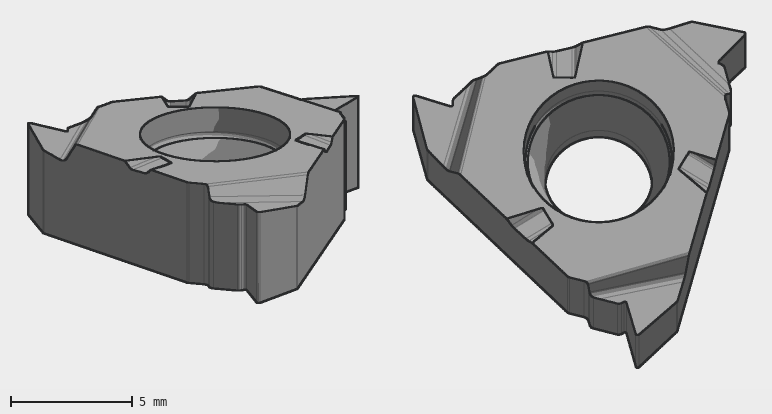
import cadquery as cq
import math

THICKNESS = 4.44
CORNERS = 3
CORNER_ANGLE = 360 / CORNERS
INRADIUS = 4.77

FLANK_ANGLE = 60
SHOULDER_Y = 5.23
TIP_Y = 7.2
TIP_RADIUS = 0.08
CREST_Y = 6.01
CREST_START_X = -2.51
CREST_END_X = -1.27
RELIEF_Y = 5.64
GULLET_RISE_ANGLE = 45
GULLET_RADIUS = 0.07
CREST_RADIUS = 0.22
STEP_RADIUS = 0.24
STEP_ROOT_RADIUS = 0.27
SIDE_RADIUS = 0.2

BORE_DIAMETER = 4.4
SEAT_DIAMETER = 6.2
SEAT_END_DIAMETER = 6.03
SEAT_DEPTH = 1.05
THROAT_DIAMETER = 5.85
THROAT_DEPTH = 1.28
THROAT_END_DEPTH = 3.59

TOOTH_HEADING = -30
RAKE_ANGLE = 10.0
TIP_HEIGHT = 4.02
WALL_ANGLE = 60.0
WALL_X = 5.38
WALL_SKEW = 1.9
GROOVE_RADIUS = 0.32
BROW_RADIUS = 0.14
GROOVE_LENGTH = 11.16
GROOVE_REACH = 5.58

NOTCH_END = (-3.49, -0.55)
NOTCH_ANGLE = 165.0
NOTCH_LENGTH = 2.09
NOTCH_FLOOR_TILT = 10.0
NOTCH_END_DEPTH = 0.03
NOTCH_FLOOR_WIDTH = 0.82
NOTCH_WALL_ANGLE = 40.0
NOTCH_HEIGHT = 0.7
NOTCH_RADIUS = 0.25


def turned(point, angle):
    """Point (x, y) turned about the Z axis."""
    cos_a = math.cos(math.radians(angle))
    sin_a = math.sin(math.radians(angle))
    return (point[0] * cos_a - point[1] * sin_a, point[0] * sin_a + point[1] * cos_a)


flank_slope = math.tan(math.radians(FLANK_ANGLE))
rise_slope = math.tan(math.radians(GULLET_RISE_ANGLE))
tip_overshoot = TIP_RADIUS * (1 / math.cos(math.radians(FLANK_ANGLE)) - 1)
apex_y = TIP_Y + tip_overshoot
apex_x = -INRADIUS + (apex_y - SHOULDER_Y) / flank_slope
gullet_x = (
    apex_y + flank_slope * apex_x - CREST_Y + rise_slope * CREST_START_X
) / (flank_slope + rise_slope)
gullet_y = apex_y - flank_slope * (gullet_x - apex_x)
step_end_x = CREST_END_X + (CREST_Y - RELIEF_Y) / flank_slope
side_heading = math.radians(180 - CORNER_ANGLE)
side_x = (INRADIUS - RELIEF_Y * math.sin(side_heading)) / math.cos(side_heading)

corner_points = [
    ((-INRADIUS, SHOULDER_Y), SIDE_RADIUS),
    ((apex_x, apex_y), TIP_RADIUS),
    ((gullet_x, gullet_y), GULLET_RADIUS),
    ((CREST_START_X, CREST_Y), CREST_RADIUS),
    ((CREST_END_X, CREST_Y), STEP_RADIUS),
    ((step_end_x, RELIEF_Y), STEP_ROOT_RADIUS),
    ((side_x, RELIEF_Y), SIDE_RADIUS),
]


def body():
    """Full-height plate with every outline corner rounded."""
    outline = []
    for i in range(CORNERS):
        outline += [turned(point, -i * CORNER_ANGLE) for point, _ in corner_points]
    solid = cq.Workplane("XY").polyline(outline).close().extrude(THICKNESS)
    for point, radius in corner_points:
        for i in range(CORNERS):
            x, y = turned(point, -i * CORNER_ANGLE)
            edge_middle = (x, y, THICKNESS / 2)
            corner_edge = cq.selectors.NearestToPointSelector(edge_middle)
            solid = solid.edges("|Z").edges(corner_edge).fillet(radius)
    return solid


def screw_hole():
    """Tapered seat, rounded ledge and a throat that flares up from the bore."""
    bore_radius = BORE_DIAMETER / 2
    seat_end_radius = SEAT_END_DIAMETER / 2
    throat_radius = THROAT_DIAMETER / 2
    flare_in = throat_radius - bore_radius
    flare_height = THROAT_END_DEPTH - THROAT_DEPTH
    flare_radius = (flare_in**2 + flare_height**2) / (2 * flare_in)
    half_sweep = math.asin(flare_height / flare_radius) / 2
    flare_mid = (
        bore_radius + flare_radius * (1 - math.cos(half_sweep)),
        THICKNESS - THROAT_END_DEPTH + flare_radius * math.sin(half_sweep),
    )
    ledge_mid = (
        throat_radius + (seat_end_radius - throat_radius) * math.sin(math.pi / 4),
        THICKNESS - SEAT_DEPTH - (THROAT_DEPTH - SEAT_DEPTH) * math.sin(math.pi / 4),
    )
    return (
        cq.Workplane("XZ")
        .moveTo(0, 0)
        .lineTo(bore_radius, 0)
        .lineTo(bore_radius, THICKNESS - THROAT_END_DEPTH)
        .threePointArc(flare_mid, (throat_radius, THICKNESS - THROAT_DEPTH))
        .threePointArc(ledge_mid, (seat_end_radius, THICKNESS - SEAT_DEPTH))
        .lineTo(SEAT_DIAMETER / 2, THICKNESS)
        .lineTo(0, THICKNESS)
        .close()
        .revolve(360, (0, 0, 0), (0, 1, 0))
    )


def slope_normal(angle, heading):
    """Upward normal of a plane that rises by angle toward heading."""
    tilt = math.radians(angle)
    x, y = turned((-math.sin(tilt), 0), heading)
    return cq.Vector(x, y, math.cos(tilt))


def chip_groove():
    """Space above the raked floor, the root radius and the skewed wall of the +X tooth."""
    tip_x, tip_y = turned((apex_x, TIP_Y), -CORNER_ANGLE)
    floor = slope_normal(RAKE_ANGLE, TOOTH_HEADING)
    wall = slope_normal(WALL_ANGLE, 180 + WALL_SKEW)

    floor_x_slope = -floor.x / floor.z
    floor_y_slope = -floor.y / floor.z
    wall_x_slope = -wall.x / wall.z
    floor_z = TIP_HEIGHT - floor_x_slope * tip_x - floor_y_slope * tip_y
    wall_z = THICKNESS - wall_x_slope * WALL_X
    root_x = (wall_z - floor_z) / (floor_x_slope - wall_x_slope)
    root_z = floor_z + floor_x_slope * root_x

    along = wall.cross(floor).normalized()
    section = cq.Plane((root_x, 0, root_z), floor.cross(along).toTuple(), along.toTuple())
    bend = floor.getAngle(wall)
    tangent = GROOVE_RADIUS * math.tan(bend / 2)
    root_mid = (
        tangent - GROOVE_RADIUS * math.sin(bend / 2),
        GROOVE_RADIUS * (1 - math.cos(bend / 2)),
    )
    return (
        cq.Workplane(section)
        .moveTo(GROOVE_REACH, 0)
        .lineTo(tangent, 0)
        .threePointArc(root_mid, (-tangent * math.cos(bend), tangent * math.sin(bend)))
        .lineTo(-GROOVE_REACH * math.cos(bend), GROOVE_REACH * math.sin(bend))
        .lineTo(GROOVE_REACH, GROOVE_REACH)
        .close()
        .extrude(GROOVE_LENGTH / 2, both=True)
    )


def index_notch():
    """Trapezoidal notch whose floor falls from the inner end out through the left side."""
    tilt = math.radians(NOTCH_FLOOR_TILT)
    out_x, out_y = turned((math.cos(tilt), 0), NOTCH_ANGLE)
    outward = cq.Vector(out_x, out_y, -math.sin(tilt))
    across = cq.Vector(*turned((0, 1), NOTCH_ANGLE), 0)
    end = cq.Plane((*NOTCH_END, THICKNESS - NOTCH_END_DEPTH), across.toTuple(), outward.toTuple())
    half_floor = NOTCH_FLOOR_WIDTH / 2
    half_top = half_floor + NOTCH_HEIGHT / math.tan(math.radians(NOTCH_WALL_ANGLE))
    corners = [
        (-half_floor, 0),
        (half_floor, 0),
        (half_top, NOTCH_HEIGHT),
        (-half_top, NOTCH_HEIGHT),
    ]
    notch = cq.Workplane(end).polyline(corners).close().extrude(NOTCH_LENGTH)
    floor_middle = end.origin + outward * (NOTCH_LENGTH / 2)
    floor_face = cq.selectors.NearestToPointSelector(floor_middle.toTuple())
    floor_edges = cq.selectors.ParallelDirSelector(outward)
    return notch.faces(floor_face).edges(floor_edges).fillet(NOTCH_RADIUS)


def cut_at_corners(solid, cutter):
    """Cut the same shape at all three corners."""
    for i in range(CORNERS):
        solid = solid.cut(cutter.rotate((0, 0, 0), (0, 0, 1), i * CORNER_ANGLE))
    return solid


def round_brows(solid):
    """Round the top edge of each groove wall."""
    for i in range(CORNERS):
        heading = turned((0, 1), WALL_SKEW + i * CORNER_ANGLE)
        brow = cq.selectors.ParallelDirSelector(cq.Vector(*heading, 0))
        solid = solid.faces(">Z").edges(brow).fillet(BROW_RADIUS)
    return solid


result = body().cut(screw_hole())
result = cut_at_corners(result, chip_groove())
result = round_brows(result)
result = cut_at_corners(result, index_notch())